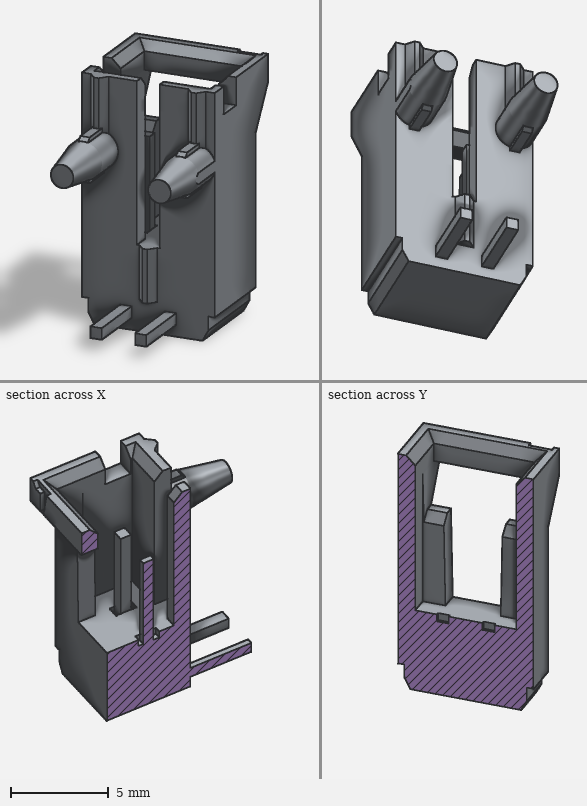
import cadquery as cq


height = 13.59
width = 7.49
depth = 5.04
mouth_depth = 6.56
mouth_height = 1.52
overhang_height = 3.79
shoulder_z = height - overhang_height
band_z = height - mouth_height

foot_height = 1.37
foot_step = 0.35
foot_chamfer_x = 0.34
foot_chamfer_z = 0.63

floor_z = 4.67
wall = 1.0
cavity_width = 5.55
lead_in = 0.5

back_wall_front = 4.01
post_gap_bottom = 3.05
post_gap_top = 3.23
window_width_bottom = 5.44

slot_width = 1.28
side_notch_front = 1.11
side_notch_length = 1.52

recess_depth = 0.26
recess_left_top = 2.15
recess_left_bottom = 2.45
recess_step = 2.76
recess_ledge_end = 3.21
recess_right_top = 3.45
recess_ledge_depth = 0.33

peg_x = 2.75
peg_z = 9.58
peg_radius = 1.05
peg_tip_radius = 0.64
peg_straight = 2.0
peg_length = 4.61
peg_key_width = 0.53
peg_key_radius = 1.25

rib_base = 1.0
rib_crest = 0.27
rib_height = 0.42
center_rib_z = 1.73

pin_x = 1.257
pin_size = 0.64
pin_leg_length = 3.67
pin_leg_z = 0.65
pin_back = 2.85
pin_top_z = shoulder_z
pocket_front = 1.89
pocket_back = 3.13
pocket_depth = 0.41


def box(x_range, y_range, z_range):
    """Axis-aligned box between pairs of limits."""
    limits = (x_range, y_range, z_range)
    sizes = [high - low for low, high in limits]
    corner = tuple(low for low, high in limits)
    return cq.Workplane("XY").box(*sizes, centered=False).translate(corner)


def centered_box(length, y_range, z_range, x=0):
    """Box of the given X length, centred on x."""
    return box((x - length / 2, x + length / 2), y_range, z_range)


def prism_along_y(points, y_front, y_back):
    """Prism with an XZ outline, running from y_front to y_back."""
    outline = cq.Workplane("XZ", origin=(0, y_front, 0)).polyline(points).close()
    return outline.extrude(y_front - y_back)


def prism_along_x(points, length):
    """Prism with a YZ outline, centred on X = 0."""
    return cq.Workplane("YZ").polyline(points).close().extrude(length / 2, both=True)


def trapezoid(bottom_width, bottom_z, top_width, top_z):
    """Corner points of an upright trapezoid centred on X = 0."""
    return [
        (-bottom_width / 2, bottom_z),
        (bottom_width / 2, bottom_z),
        (top_width / 2, top_z),
        (-top_width / 2, top_z),
    ]


def outer_block():
    """Solid housing with the overhanging mouth and the narrowed foot."""
    side_outline = [
        (0, 0),
        (depth, 0),
        (depth, shoulder_z),
        (mouth_depth, band_z),
        (mouth_depth, height),
        (0, height),
    ]
    half = width / 2
    foot_half = half - foot_step
    right_edge = [
        (foot_half - foot_chamfer_x, 0),
        (foot_half, foot_chamfer_z),
        (foot_half, foot_height),
        (half, foot_height),
        (half, height),
    ]
    left_edge = [(-x, z) for x, z in reversed(right_edge)]
    front_outline = prism_along_y(right_edge + left_edge, 0, mouth_depth)
    return prism_along_x(side_outline, width).intersect(front_outline)


def cavity():
    """Space inside the housing: main bay, flared mouth and back window."""
    back_inner = mouth_depth - wall
    bay = centered_box(cavity_width, (wall, back_wall_front), (floor_z, height))
    mouth = centered_box(cavity_width, (wall, back_inner), (band_z, height))
    flare = (
        cq.Workplane("XY", origin=(0, (wall + back_inner) / 2, height - lead_in))
        .rect(cavity_width, back_inner - wall)
        .workplane(offset=lead_in)
        .rect(cavity_width + 2 * lead_in, back_inner - wall + 2 * lead_in)
        .loft(ruled=True)
    )
    lower_window = prism_along_y(
        trapezoid(post_gap_bottom, floor_z, post_gap_top, shoulder_z), back_wall_front, depth
    )
    upper_window = prism_along_y(
        trapezoid(window_width_bottom, shoulder_z, cavity_width, band_z), back_wall_front, mouth_depth
    )
    post_chamfer = prism_along_x(
        [
            (back_wall_front, shoulder_z - lead_in),
            (back_wall_front + lead_in, shoulder_z),
            (back_wall_front, shoulder_z),
        ],
        window_width_bottom,
    )
    space = bay.union(mouth).union(flare).union(lower_window)
    return space.union(upper_window).union(post_chamfer)


def wall_openings():
    """Front slot and the two notches in the side walls."""
    slot = centered_box(slot_width, (0, wall), (floor_z, height))
    notch_y = (side_notch_front, side_notch_front + side_notch_length)
    return slot.union(centered_box(width, notch_y, (band_z, height)))


def back_recess():
    """Shallow recess in the back band, open at the top and bottom."""
    ledge_z = height - recess_ledge_depth
    outline = [
        (recess_left_top, height),
        (recess_left_bottom, band_z),
        (recess_step, band_z),
        (recess_step, ledge_z),
        (recess_ledge_end, ledge_z),
        (recess_right_top, height),
    ]
    return prism_along_y(outline, mouth_depth - recess_depth, mouth_depth)


def rib(x, z_bottom, z_top):
    """Vertical rib of trapezoid section standing on the front face."""
    section = [
        (x - rib_base / 2, 0),
        (x - rib_crest / 2, -rib_height),
        (x + rib_crest / 2, -rib_height),
        (x + rib_base / 2, 0),
    ]
    profile = cq.Workplane("XY", origin=(0, 0, z_bottom)).polyline(section).close()
    return profile.extrude(z_top - z_bottom)


def peg(x):
    """Tapered peg with a key above and below, trimmed flush with the housing sides."""
    half_profile = [
        (0, 0),
        (peg_radius, 0),
        (peg_radius, -peg_straight),
        (peg_tip_radius, -peg_length),
        (0, -peg_length),
    ]
    peg_body = (
        cq.Workplane("XY")
        .polyline(half_profile)
        .close()
        .revolve(360, (0, 0, 0), (0, 1, 0))
    )
    key_bevel = peg_key_radius - peg_radius
    key_outline = [
        (0, -peg_key_radius),
        (0, peg_key_radius),
        (-peg_straight + key_bevel, peg_key_radius),
        (-peg_straight, peg_radius),
        (-peg_straight, -peg_radius),
        (-peg_straight + key_bevel, -peg_key_radius),
    ]
    keys = prism_along_x(key_outline, peg_key_width)
    trim = centered_box(width, (-peg_length, 0), (0, height))
    return peg_body.union(keys).translate((x, 0, peg_z)).intersect(trim)


def contact_pin(x):
    """L-shaped pin: a leg out of the front and a blade standing in the cavity."""
    leg = centered_box(
        pin_size, (-pin_leg_length, pin_back), (pin_leg_z, pin_leg_z + pin_size), x
    )
    blade = centered_box(pin_size, (pin_back - pin_size, pin_back), (pin_leg_z, pin_top_z), x)
    return leg.union(blade)


def pin_pocket(x):
    """Short pocket in the cavity floor around a pin."""
    return centered_box(pin_size, (pocket_front, pocket_back), (floor_z - pocket_depth, floor_z), x)


result = outer_block().cut(cavity()).cut(wall_openings()).cut(back_recess())
result = result.union(rib(0, center_rib_z, floor_z))
for side in (-1, 1):
    result = result.union(rib(side * peg_x, peg_z, height))
    result = result.union(peg(side * peg_x))
    result = result.cut(pin_pocket(side * pin_x))
    result = result.union(contact_pin(side * pin_x))